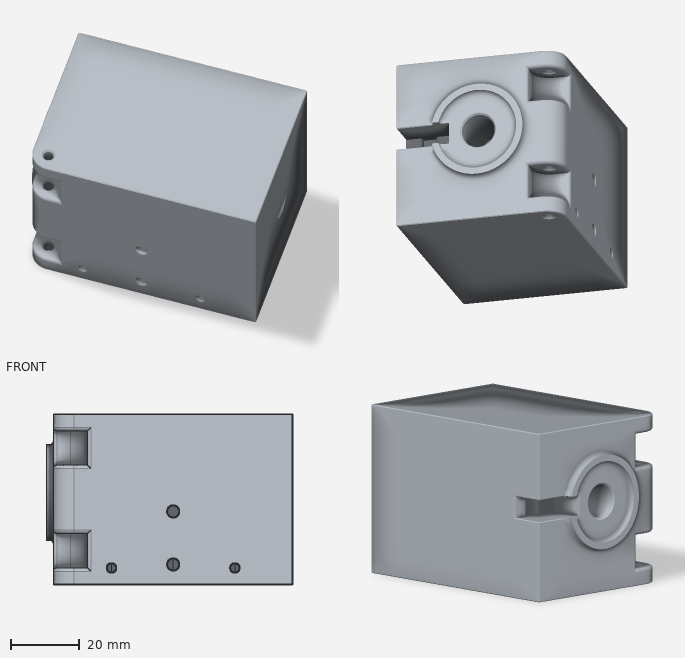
import cadquery as cq
import math

length = 70.0
width = 50.0
height = 50.0
corner_radius = 6.0
edge_break = 0.25
front_y = -width / 2
overshoot = 0.7
tolerance = 0.01

round_size = 1.0

axis_z = 2.0
boss_height = 2 * round_size
boss_radius = 14.0
recess_radius = 12.0
recess_depth = 1.5
recess_floor_x = recess_depth - boss_height

bore_radius = 5.0
bore_chamfer = 0.5
bore_depth = 20.0

slot_height = 6.4
slot_end_y = 8.8
slot_depth = 10.0
groove_start_y = 16.0
groove_end_y = 20.0
groove_depth = 2 * round_size

pin_x = 5.0
pin_y = front_y + pin_x
pin_radius = 1.5
pin_chamfer = 0.5
pocket_height = 10.0
pocket_reach = pocket_height
pocket_centers_z = (15.0, -15.0)

hole_depth = 10.0
hole_step = 1.0
large_hole_radius = 1.65
small_hole_radius = 1.26
middle_x = length / 2
small_hole_spacing = 18.0
upper_hole_z = -3.5
lower_hole_z = -19.0
small_hole_z = -20.0


def block(x_range, y_range, z_range):
    """Box given by its limits along each axis."""
    low = [limits[0] for limits in (x_range, y_range, z_range)]
    size = [limits[1] - limits[0] for limits in (x_range, y_range, z_range)]
    return cq.Workplane("XY").box(*size, centered=False).translate(tuple(low))


def cylinder(radius, depth, start, direction):
    return cq.Workplane(cq.Solid.makeCylinder(radius, depth, cq.Vector(*start), cq.Vector(*direction)))


def rim_bevel(radius, size, start, direction):
    """Cone that bevels a hole's rim; the direction points into the hole."""
    cone = cq.Solid.makeCone(radius + size, radius, size, cq.Vector(*start), cq.Vector(*direction))
    return cq.Workplane(cone)


def round_middle(center_x, center_y, side_x, side_y):
    """Middle point of a quarter round; the sides (+1 or -1) pick the quadrant."""
    reach = round_size * math.sqrt(0.5)
    return (center_x + side_x * reach, center_y + side_y * reach)


def slot():
    """Slot with a groove in its floor; the groove's lips are rounded."""
    lip_x = slot_depth + round_size
    groove_floor_x = slot_depth + groove_depth
    near_lip_y = groove_start_y - round_size
    far_lip_y = groove_end_y + round_size
    outer_y = width / 2 + overshoot
    outer_x = -boss_height - overshoot
    return (
        cq.Workplane("XY", origin=(0, 0, axis_z - slot_height / 2))
        .moveTo(outer_x, slot_end_y)
        .lineTo(slot_depth, slot_end_y)
        .lineTo(slot_depth, near_lip_y)
        .threePointArc(round_middle(lip_x, near_lip_y, -1, 1), (lip_x, groove_start_y))
        .lineTo(groove_floor_x, groove_start_y)
        .lineTo(groove_floor_x, groove_end_y)
        .lineTo(lip_x, groove_end_y)
        .threePointArc(round_middle(lip_x, far_lip_y, -1, -1), (slot_depth, far_lip_y))
        .lineTo(slot_depth, outer_y)
        .lineTo(outer_x, outer_y)
        .close()
        .extrude(slot_height)
    )


def slotted_box():
    """Box with one rounded corner and a slot; its sharp outer edges are broken."""
    box = block((0, length), (front_y, -front_y), (-height / 2, height / 2))
    box = box.edges("|Z and <X and <Y").fillet(corner_radius).cut(slot())
    around_mouth = cq.selectors.BoxSelector(
        (-overshoot, 0, axis_z - slot_height),
        (overshoot, width, axis_z + slot_height),
    )
    slot_mouth = box.faces("<X").edges("|Y").edges(around_mouth)
    return box.faces("<Z or >Z or >X or >Y").edges().add(slot_mouth).chamfer(edge_break)


def boss():
    """Ring boss with a flared foot and a shallow recess, rooted just below the face."""
    foot_radius = boss_radius + round_size
    floor_radius = recess_radius - round_size
    recess_round_x = recess_floor_x - round_size
    return (
        cq.Workplane("XZ")
        .moveTo(edge_break, 0)
        .lineTo(edge_break, foot_radius)
        .lineTo(0, foot_radius)
        .threePointArc(round_middle(-round_size, foot_radius, 1, -1), (-round_size, boss_radius))
        .lineTo(-boss_height, boss_radius)
        .lineTo(-boss_height, recess_radius)
        .lineTo(recess_round_x, recess_radius)
        .threePointArc(round_middle(recess_round_x, floor_radius, 1, 1), (recess_floor_x, floor_radius))
        .lineTo(recess_floor_x, 0)
        .close()
        .revolve(360, (0, 0, 0), (1, 0, 0))
        .translate((0, 0, axis_z))
    )


def shaft_bore():
    start = (recess_floor_x, 0, axis_z)
    along_x = (1, 0, 0)
    entry = cylinder(bore_radius, bore_depth - recess_floor_x, start, along_x)
    below_middle = block((0, length), (-bore_radius, bore_radius), (-height / 2, 0))
    run_on = cylinder(bore_radius, length - recess_floor_x, start, along_x).intersect(below_middle)
    return entry.union(run_on).union(rim_bevel(bore_radius, bore_chamfer, start, along_x))


def cut_hinge_pocket(body, center_z):
    """Cut one pocket around the pin axis and round its rim."""
    low_z = center_z - pocket_height / 2
    high_z = center_z + pocket_height / 2
    outer_y = front_y - overshoot
    pocket = block((-overshoot, pocket_reach), (outer_y, front_y + pocket_reach), (low_z, high_z))
    body = body.cut(pocket.edges("|Z and >X and >Y").fillet(pin_x))

    def on_rim(edge):
        center = edge.Center()
        on_corner = edge.geomType() == "CIRCLE" and abs(edge.radius() - corner_radius) < tolerance
        return center.x < tolerance or center.y < front_y + tolerance or on_corner

    around_pocket = cq.selectors.BoxSelector(
        (-tolerance, front_y - tolerance, low_z - tolerance),
        (pocket_reach + tolerance, front_y + pocket_reach + tolerance, high_z + tolerance),
        boundingbox=True,
    )
    return body.edges(around_pocket).filter(on_rim).fillet(round_size)


def hinge_pin_hole():
    """Through hole down the hinge, bevelled where it enters each knuckle face."""
    hole = cylinder(pin_radius, height, (pin_x, pin_y, -height / 2), (0, 0, 1))
    upward_faces_z = [height / 2] + [z - pocket_height / 2 for z in pocket_centers_z]
    downward_faces_z = [-height / 2] + [z + pocket_height / 2 for z in pocket_centers_z]
    for z in upward_faces_z:
        hole = hole.union(rim_bevel(pin_radius, pin_chamfer, (pin_x, pin_y, z), (0, 0, -1)))
    for z in downward_faces_z:
        hole = hole.union(rim_bevel(pin_radius, pin_chamfer, (pin_x, pin_y, z), (0, 0, 1)))
    return hole


def front_hole(x, z, radius, deep_side):
    """Blind hole; the floor steps deeper on the +X (1) or -X (-1) half, or is flat (0)."""
    start = (x, front_y, z)
    inward = (0, 1, 0)
    hole = cylinder(radius, hole_depth, start, inward).union(rim_bevel(radius, edge_break, start, inward))
    if deep_side == 0:
        return hole
    half_x = sorted((x, x + deep_side * radius))
    bottom_y = front_y + hole_depth + hole_step
    half = block(half_x, (front_y, bottom_y), (z - radius, z + radius))
    return hole.union(cylinder(radius, hole_depth + hole_step, start, inward).intersect(half))


result = slotted_box().union(boss()).cut(slot()).cut(shaft_bore())
for pocket_z in pocket_centers_z:
    result = cut_hinge_pocket(result, pocket_z)
result = result.cut(hinge_pin_hole())

front_holes = (
    (middle_x, upper_hole_z, large_hole_radius, 0),
    (middle_x, lower_hole_z, large_hole_radius, 1),
    (middle_x - small_hole_spacing, small_hole_z, small_hole_radius, 1),
    (middle_x + small_hole_spacing, small_hole_z, small_hole_radius, -1),
)
for hole_x, hole_z, hole_radius, deep_half in front_holes:
    result = result.cut(front_hole(hole_x, hole_z, hole_radius, deep_half))